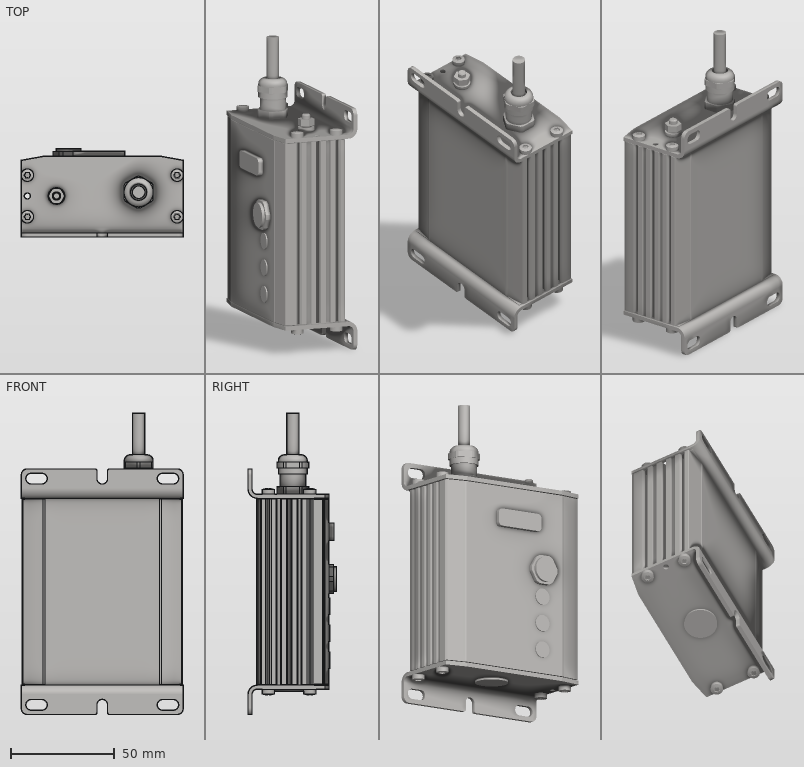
import cadquery as cq
import math


width = 78.0
bracket_height = 118.2
cable_top = 145.0
sheet = 2.0

plate_offset = 12.2
plate_inner = plate_offset + sheet
plate_top = bracket_height - plate_offset
bend_radius = 4.5
plate_back = 39.0
plate_corner_back = 37.0
plate_flat_half = 28.0
flange_corner = 3.0
slot_length = 10.2
slot_width = 5.0
slot_x = 31.6
slot_from_edge = 4.7
notch_width = 5.0
notch_depth = 7.3
notch_edge_round = 1.0

gasket_thickness = 0.4
body_bottom = plate_inner + gasket_thickness
body_top = bracket_height - body_bottom
body_half = 38.6
body_front = 4.2
body_back = 38.9
panel_angle = 10.0
panel_slope = math.tan(math.radians(panel_angle))
strip_half = 28.4
panel_start_half = 28.9
panel_step = 0.25
label_half = 27.5
label_depth = 0.15
lid_seam_y = 36.0
lid_seam_width = 0.5
lid_seam_depth = 0.3
side_chamfer = 0.4

side_centre_y = 19.8
groove_pitch = 5.0
groove_mouth = 2.6
groove_floor = 1.6
groove_depth = 1.0
screw_slot_mouth = 2.9
screw_slot = 1.1
vent_slot = 1.7
channel_x = 36.0
channel_diameter = 2.8

screw_spacing_y = 4 * groove_pitch
screw_head_diameter = 6.0
screw_rim = 2.2
screw_head_height = 2.75
drive_core = 2.4
drive_lobes = 6
drive_lobe_diameter = 1.0
drive_radius = 1.05
drive_depth = 1.0

gland_x = 17.5
gland_y = 21.6
hex_flats = 14.0
gland_hex_corners = 15.4
gland_hex_turn = 30.0
gland_hex_height = 3.6
gland_neck_diameter = 12.5
gland_neck_top = 115.6
gland_diameter = 14.0
gland_nut_bottom = 118.5
gland_nut_top = 121.4
gland_top = 125.0
gland_dome_round = 3.0
gland_mouth_diameter = 7.8
gland_mouth_depth = 2.0
cable_diameter = 6.0

stud_x = -22.0
stud_diameter = 4.0
stud_height = 8.2
stud_chamfer = 0.5
washer_base_diameter = 7.6
washer_base_height = 0.5
washer_diameter = 8.0
washer_top = 1.9
stud_nut_flats = 7.0
stud_nut_bottom = 2.7
stud_nut_height = 3.2

rear_nut_x = -16.2
rear_nut_z = 65.2
rear_hex_corners = 15.0
rear_hex_height = 2.2
rear_disc_diameter = 12.0
rear_disc_height = 3.6
button_diameter = 8.0
button_height = 0.5
button_pitch = 13.0
button_count = 3
socket_width = 25.0
socket_height = 8.5
socket_round = 2.0
socket_x = -1.6
socket_z = 87.9
socket_depth = 2.4

plug_diameter = 16.0
plug_height = 1.0


def cylinder(x, y, z, diameter, height):
    """Upright cylinder standing on height z."""
    return cq.Workplane("XY", origin=(x, y, z)).circle(diameter / 2).extrude(height)


def hexagon(workplane, flats, height, turn=0):
    """Hexagonal prism with corners on the local X axis, turned by the given angle."""
    corners = flats / math.cos(math.pi / 6)
    return workplane.transformed(rotate=(0, 0, turn)).polygon(6, corners).extrude(height)


def rounded_hexagon(workplane, corners, height, turn=0):
    """Large hexagon with its corners turned down to a common diameter."""
    round_blank = workplane.circle(corners / 2).extrude(height)
    return hexagon(workplane, hex_flats, height, turn).intersect(round_blank)


def mirrored_pair(shape):
    """The shape together with its mirror image about mid-width."""
    return shape.union(shape.mirror("YZ"))


def lower_bracket():
    """End plate bent down into a slotted mounting flange."""
    inner_radius = bend_radius - sheet
    profile = (
        cq.Workplane("YZ", origin=(-width / 2, 0, 0))
        .moveTo(0, 0)
        .lineTo(0, plate_inner - bend_radius)
        .radiusArc((bend_radius, plate_inner), bend_radius)
        .lineTo(plate_back, plate_inner)
        .lineTo(plate_back, plate_offset)
        .lineTo(bend_radius, plate_offset)
        .radiusArc((sheet, plate_offset - inner_radius), -inner_radius)
        .lineTo(sheet, 0)
        .close()
        .extrude(width)
    )
    corners = (
        cq.Workplane("XY", origin=(0, 0, plate_offset))
        .moveTo(plate_flat_half, plate_back)
        .lineTo(width / 2, plate_back)
        .lineTo(width / 2, plate_corner_back)
        .close()
        .extrude(sheet)
    )
    bracket = profile.cut(mirrored_pair(corners))
    bracket = bracket.edges("|Y").edges("<Z").fillet(flange_corner)

    flange = cq.Workplane("XZ")
    slots = (
        flange.pushPoints([(-slot_x, slot_from_edge), (slot_x, slot_from_edge)])
        .slot2D(slot_length, slot_width)
        .extrude(-sheet)
    )
    notch_end = notch_depth - notch_width / 2
    notch = (
        flange.moveTo(-notch_width / 2, 0)
        .lineTo(-notch_width / 2, notch_end)
        .threePointArc((0, notch_depth), (notch_width / 2, notch_end))
        .lineTo(notch_width / 2, 0)
        .close()
        .extrude(-sheet)
    )
    bracket = bracket.cut(slots).cut(notch)
    mouth = cq.selectors.BoxSelector((-notch_width, -sheet, -sheet), (notch_width, 2 * sheet, sheet))
    return bracket.edges("|Y").edges(mouth).fillet(notch_edge_round)


def flip_to_top(shape):
    """Mirror a lower end part to the upper end."""
    return shape.mirror("XY", (0, 0, bracket_height / 2))


def groove(y, mouth, floor):
    """Tapered groove along the housing's right side at depth position y."""
    inner = body_half - groove_depth
    outline = [
        (body_half, y - mouth / 2),
        (body_half, y + mouth / 2),
        (inner, y + floor / 2),
        (inner, y - floor / 2),
    ]
    length = body_top - body_bottom
    return cq.Workplane("XY", origin=(0, 0, body_bottom)).polyline(outline).close().extrude(length)


def channel(y, mouth, slot):
    """Groove whose floor opens through a slot into a round channel."""
    length = body_top - body_bottom
    slot_depth = body_half - channel_x
    neck = (
        cq.Workplane("XY", origin=(channel_x + slot_depth / 2, y, body_bottom))
        .rect(slot_depth, slot)
        .extrude(length)
    )
    bore = cylinder(channel_x, y, body_bottom, channel_diameter, length)
    return groove(y, mouth, slot).union(neck).union(bore)


def housing():
    """Extruded housing with sloped edge panels and grooved sides."""
    length = body_top - body_bottom
    panel_drop = (body_half - side_chamfer - panel_start_half) * panel_slope
    front_edge = body_front + panel_step + panel_drop
    back_edge = body_back - panel_step - panel_drop
    half_outline = [
        (0, body_front),
        (strip_half, body_front),
        (panel_start_half, body_front + panel_step),
        (body_half - side_chamfer, front_edge),
        (body_half, front_edge + side_chamfer),
        (body_half, back_edge - side_chamfer),
        (body_half - side_chamfer, back_edge),
        (panel_start_half, body_back - panel_step),
        (strip_half, body_back),
        (0, body_back),
    ]
    half = cq.Workplane("XY", origin=(0, 0, body_bottom)).polyline(half_outline).close().extrude(length)
    body = mirrored_pair(half)
    label_recess = (
        cq.Workplane("XY", origin=(0, body_front, body_bottom))
        .rect(2 * label_half, 2 * label_depth)
        .extrude(length)
    )
    body = body.cut(label_recess)
    seam = (
        cq.Workplane("XY", origin=(body_half, lid_seam_y, body_bottom))
        .rect(2 * lid_seam_depth, lid_seam_width)
        .extrude(length)
    )
    side_cuts = [seam, channel(side_centre_y, groove_mouth, vent_slot)]
    for step in (-1, 1):
        side_cuts.append(groove(side_centre_y + step * groove_pitch, groove_mouth, groove_floor))
        screw_y = side_centre_y + step * screw_spacing_y / 2
        side_cuts.append(channel(screw_y, screw_slot_mouth, screw_slot))
    for side_cut in side_cuts:
        body = body.cut(side_cut).cut(side_cut.mirror("YZ"))
    return body


def lower_gasket():
    """Thin gasket between end plate and housing, flush with the recessed surfaces of the housing."""
    front = body_front + label_depth
    back = body_back - panel_step - body_half * panel_slope
    return (
        cq.Workplane("XY", origin=(0, (front + back) / 2, plate_inner))
        .rect(2 * (body_half - groove_depth), back - front)
        .extrude(gasket_thickness)
    )


def screw_head(x, y):
    """Domed screw head with a six-lobed drive, standing on the upper end plate."""
    radius = screw_head_diameter / 2
    dome_rise = screw_head_height - screw_rim
    dome_radius = (radius**2 + dome_rise**2) / (2 * dome_rise)
    head = (
        cq.Workplane("XZ")
        .lineTo(radius, 0)
        .lineTo(radius, screw_rim)
        .radiusArc((0, screw_head_height), -dome_radius)
        .close()
        .revolve(360, (0, 0, 0), (0, 1, 0))
    )
    drive_floor = screw_head_height - drive_depth
    drive = cylinder(0, 0, drive_floor, drive_core, drive_depth)
    for lobe in range(drive_lobes):
        angle = 2 * math.pi * lobe / drive_lobes
        lobe_x = drive_radius * math.cos(angle)
        lobe_y = drive_radius * math.sin(angle)
        drive = drive.union(cylinder(lobe_x, lobe_y, drive_floor, drive_lobe_diameter, drive_depth))
    return head.cut(drive).translate((x, y, plate_top))


def cable_gland():
    """Cable gland with a hexagonal base and clamping nut, and the cable leaving it."""
    base_plane = cq.Workplane("XY", origin=(gland_x, gland_y, plate_top))
    base = rounded_hexagon(base_plane, gland_hex_corners, gland_hex_height, gland_hex_turn)
    neck = cylinder(gland_x, gland_y, plate_top, gland_neck_diameter, gland_neck_top - plate_top)
    cap = cylinder(gland_x, gland_y, gland_neck_top, gland_diameter, gland_top - gland_neck_top)
    cap = cap.edges(">Z").fillet(gland_dome_round)
    nut_plane = cq.Workplane("XY", origin=(gland_x, gland_y, gland_nut_bottom))
    nut = rounded_hexagon(nut_plane, gland_hex_corners, gland_nut_top - gland_nut_bottom, gland_hex_turn)
    mouth = cylinder(gland_x, gland_y, gland_top - gland_mouth_depth, gland_mouth_diameter, gland_mouth_depth)
    cable = cylinder(gland_x, gland_y, plate_top, cable_diameter, cable_top - plate_top)
    return base.union(neck).union(cap).union(nut).cut(mouth).union(cable)


def earthing_stud():
    """Threaded stud with a stepped washer and a nut."""
    stud = cylinder(stud_x, side_centre_y, plate_top, stud_diameter, stud_height)
    stud = stud.edges(">Z").chamfer(stud_chamfer)
    washer_base = cylinder(stud_x, side_centre_y, plate_top, washer_base_diameter, washer_base_height)
    washer_bottom = plate_top + washer_base_height
    washer_thickness = washer_top - washer_base_height
    washer = cylinder(stud_x, side_centre_y, washer_bottom, washer_diameter, washer_thickness)
    nut_plane = cq.Workplane("XY", origin=(stud_x, side_centre_y, plate_top + stud_nut_bottom))
    nut = hexagon(nut_plane, stud_nut_flats, stud_nut_height)
    return stud.union(washer_base).union(washer).union(nut)


def rear_plane(x, z):
    """Workplane on the housing's back face; negative extrusions point outward."""
    return cq.Workplane("XZ", origin=(x, body_back, z))


def rear_parts():
    """Hexagonal fitting, column of round buttons and rounded socket on the back face."""
    reach = plate_back - body_back
    fitting = rear_plane(rear_nut_x, rear_nut_z)
    parts = rounded_hexagon(fitting, rear_hex_corners, -(reach + rear_hex_height))
    parts = parts.union(fitting.circle(rear_disc_diameter / 2).extrude(-(reach + rear_disc_height)))
    for index in range(1, button_count + 1):
        button = rear_plane(rear_nut_x, rear_nut_z - index * button_pitch)
        parts = parts.union(button.circle(button_diameter / 2).extrude(-(reach + button_height)))
    socket = rear_plane(socket_x, socket_z).rect(socket_width, socket_height).extrude(-(reach + socket_depth))
    return parts.union(socket.edges("|Y").fillet(socket_round))


vent = cylinder(-channel_x, side_centre_y, plate_offset, channel_diameter, sheet + gasket_thickness)

result = housing()
for end_part in (lower_bracket(), lower_gasket()):
    vented = end_part.cut(vent)
    result = result.union(vented).union(flip_to_top(vented))

for screw_x in (-channel_x, channel_x):
    for screw_side in (-1, 1):
        head = screw_head(screw_x, side_centre_y + screw_side * screw_spacing_y / 2)
        result = result.union(head).union(flip_to_top(head))

result = result.union(cable_gland()).union(earthing_stud()).union(rear_parts())
result = result.union(cylinder(0, side_centre_y, plate_offset - plug_height, plug_diameter, plug_height))